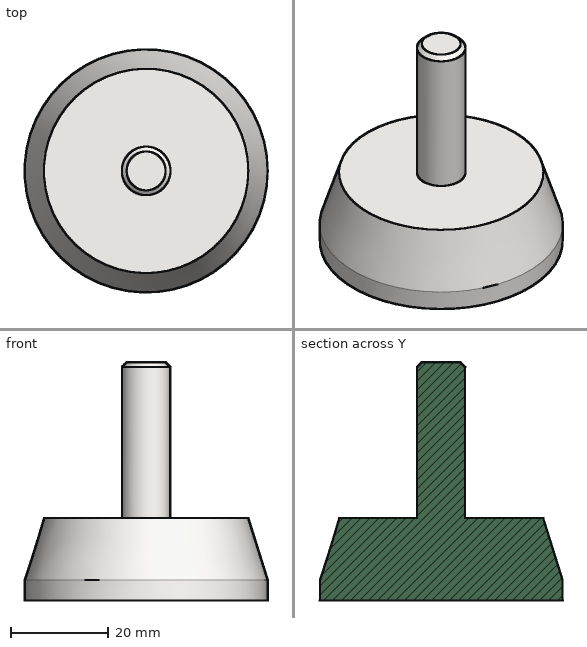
import cadquery as cq

foot_diameter = 50.0
foot_top_diameter = 42.0
rim_height = 4.25
foot_height = 17.0

stud_diameter = 10.0
stud_length = 32.0
stud_chamfer = 1.0


def make_foot():
    """Cylindrical rim with a tapered body above it."""
    foot_radius = foot_diameter / 2
    profile = (
        cq.Workplane("XZ")
        .lineTo(foot_radius, 0)
        .lineTo(foot_radius, rim_height)
        .lineTo(foot_top_diameter / 2, foot_height)
        .lineTo(0, foot_height)
        .close()
    )
    return profile.revolve(360, (0, 0, 0), (0, 1, 0))


def make_stud():
    """Upright stud with a chamfered tip, standing on the foot."""
    return (
        cq.Workplane("XY")
        .workplane(offset=foot_height)
        .circle(stud_diameter / 2)
        .extrude(stud_length)
        .faces(">Z")
        .chamfer(stud_chamfer)
    )


result = make_foot().union(make_stud())